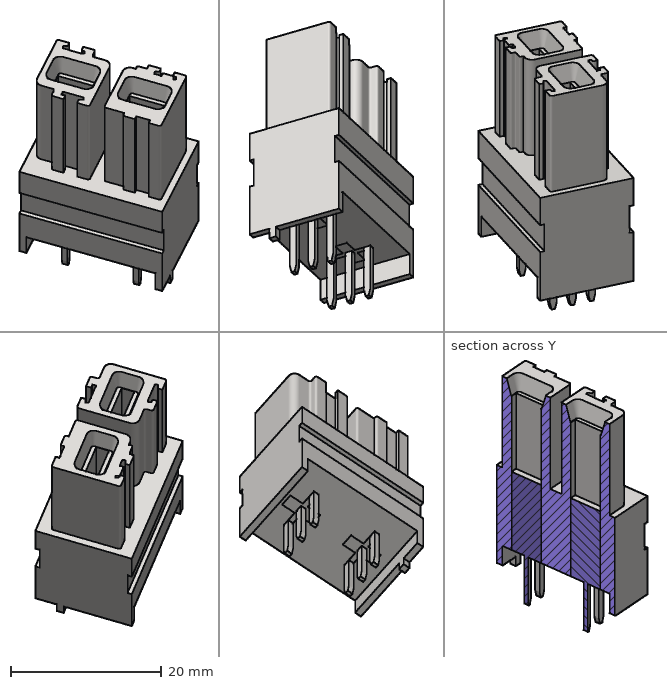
import cadquery as cq
import math

base_length = 20.32
base_width = 13.6
base_top = 15.6
side_groove_bottom = 7.4
side_groove_top = 11.45
side_groove_depth = 0.6
leg_thickness = 1.0
leg_height = 3.1
peg_size = 1.0
peg_drop = 1.5
peg_center_y = -3.3

tower_pitch = base_length / 2
tower_centers = (-tower_pitch / 2, tower_pitch / 2)
tower_top = 30.1
half_width = 4.14
core_y = 3.65
rail_y = 4.88
ledge_y = 4.34
wide_radius = 1.0
small_radius = 0.3
edge_radius = 0.15

lip_y = 4.17
neck_width = 1.95
undercut = 0.55
undercut_radius = 0.23
key_gap_radius = 0.12
rail_edge = 1.28
outer_neck = 2.4
inner_neck = outer_neck - neck_width
key_left = 0.97
key_top = 4.2
key_top_right = 2.45
key_foot_right = 2.75
step_edge = 2.65

funnel_depth = 2.5
funnel_mouth = (6.64, 4.4)
funnel_floor = (5.1, 3.0)
mouth_radius = 1.0
floor_radius = 0.35
slot_length = 5.0
slot_width = 1.8

contact_top = base_top
bar_height = 2.0
pin_thickness = 0.8
pin_width = 1.0
pin_tip_width = 0.5
pin_pitch = 2.8
pin_tip = -4.5
pin_taper_start = -3.5


def rounded_outline(corners):
    """Closed outline through (x, y, radius) corners; radius 0 keeps a corner sharp."""
    joints = []
    for index, (x, y, radius) in enumerate(corners):
        before = corners[index - 1]
        after = corners[(index + 1) % len(corners)]
        corner = cq.Vector(x, y)
        to_before = (cq.Vector(before[0], before[1]) - corner).normalized()
        to_after = (cq.Vector(after[0], after[1]) - corner).normalized()
        half_angle = to_before.getAngle(to_after) / 2
        setback = radius / math.tan(half_angle)
        bisector = (to_before + to_after).normalized()
        middle = corner + bisector * (radius / math.sin(half_angle) - radius)
        joints.append((corner + to_before * setback, middle, corner + to_after * setback, radius))

    outline = cq.Workplane("XY").moveTo(*joints[0][2].toTuple()[:2])
    for start, middle, end, radius in joints[1:] + joints[:1]:
        outline = outline.lineTo(start.x, start.y)
        if radius > 0:
            outline = outline.threePointArc((middle.x, middle.y), (end.x, end.y))
    return outline.close()


def left_tower_outline():
    """Clockwise from the back left corner: undercut slots in the back and the front."""
    back_slot = [
        (-outer_neck, rail_y, 0),
        (-outer_neck, lip_y, undercut_radius),
        (-outer_neck - undercut, lip_y, undercut_radius),
        (-outer_neck - undercut, core_y, undercut_radius),
        (-inner_neck + undercut, core_y, undercut_radius),
        (-inner_neck + undercut, lip_y, undercut_radius),
        (-inner_neck, lip_y, undercut_radius),
        (-inner_neck, rail_y, 0),
    ]
    front_slot = [
        (outer_neck, -rail_y, 0),
        (outer_neck, -lip_y, undercut_radius),
        (outer_neck + undercut, -lip_y, undercut_radius),
        (outer_neck + undercut, -core_y, undercut_radius),
        (inner_neck - undercut, -core_y, 0),
        (inner_neck - undercut, -lip_y, 0),
        (inner_neck, -lip_y, 0),
        (inner_neck, -rail_y, 0),
    ]
    return rounded_outline(
        [(-half_width, rail_y, small_radius)]
        + back_slot
        + [
            (rail_edge, rail_y, small_radius),
            (rail_edge, core_y, small_radius),
            (half_width, core_y, wide_radius),
            (half_width, -rail_y, small_radius),
        ]
        + front_slot
        + [
            (-rail_edge, -rail_y, small_radius),
            (-rail_edge, -core_y, small_radius),
            (-half_width, -core_y, wide_radius),
        ]
    )


def right_tower_outline():
    """Clockwise from the back left corner: keyed undercut slot in the back, plain slot in front."""
    back_slot = [
        (inner_neck, rail_y, 0),
        (inner_neck, lip_y, undercut_radius),
        (inner_neck - undercut, lip_y, undercut_radius),
        (inner_neck - undercut, core_y, undercut_radius),
        (key_left, core_y, 0),
        (key_left, key_top, 0),
        (key_top_right, key_top, 0),
        (key_foot_right, core_y, 0),
        (outer_neck + undercut, core_y, key_gap_radius),
        (outer_neck + undercut, lip_y, undercut_radius),
        (outer_neck, lip_y, undercut_radius),
        (outer_neck, rail_y, 0),
    ]
    front_slot = [
        (outer_neck, -rail_y, 0),
        (outer_neck, -ledge_y, 0),
        (inner_neck, -ledge_y, 0),
        (inner_neck, -rail_y, 0),
    ]
    return rounded_outline(
        [
            (-half_width, core_y, wide_radius),
            (-step_edge, core_y, 0),
            (-step_edge, key_top, edge_radius),
            (-rail_edge, key_top, edge_radius),
            (-rail_edge, rail_y, edge_radius),
        ]
        + back_slot
        + [
            (half_width, rail_y, small_radius),
            (half_width, -rail_y, small_radius),
        ]
        + front_slot
        + [
            (-rail_edge, -rail_y, small_radius),
            (-rail_edge, -ledge_y, 0),
            (-half_width, -ledge_y, small_radius),
        ]
    )


def block(length, width, bottom, top, center=(0, 0)):
    """Upright rectangular block between two heights."""
    return (
        cq.Workplane("XY", origin=(center[0], center[1], bottom))
        .rect(length, width)
        .extrude(top - bottom)
    )


def make_base():
    """Base with a groove along the front and back, and two end legs, one with a peg."""
    base = block(base_length, base_width, 0, base_top)
    for side in (-1, 1):
        groove_center = (0, side * (base_width - side_groove_depth) / 2)
        base = base.cut(
            block(base_length, side_groove_depth, side_groove_bottom, side_groove_top, groove_center)
        )
    base = base.cut(block(base_length - 2 * leg_thickness, base_width, 0, leg_height))
    peg_center_x = (base_length - leg_thickness) / 2
    return base.union(block(leg_thickness, peg_size, -peg_drop, leg_height, (peg_center_x, peg_center_y)))


def make_funnel(center_x):
    """Tapered socket mouth that narrows from the tower top."""
    mouth = cq.Sketch().rect(*funnel_mouth).vertices().fillet(mouth_radius)
    floor = cq.Sketch().rect(*funnel_floor).vertices().fillet(floor_radius)
    return (
        cq.Workplane("XY", origin=(center_x, 0, tower_top - funnel_depth))
        .placeSketch(floor, mouth.moved(cq.Location(cq.Vector(0, 0, funnel_depth))))
        .loft()
    )


def make_contact(center_x):
    """Socket block on a cross bar that carries a row of three tapered pins."""
    contact = block(slot_length, slot_width, leg_height, contact_top, (center_x, 0))
    bar_width = 2 * pin_pitch + pin_width
    contact = contact.union(
        block(pin_thickness, bar_width, leg_height, leg_height + bar_height, (center_x, 0))
    )
    for pin_y in (-pin_pitch, 0, pin_pitch):
        pin = (
            cq.Workplane("YZ", origin=(center_x - pin_thickness / 2, pin_y, 0))
            .moveTo(-pin_width / 2, leg_height)
            .lineTo(-pin_width / 2, pin_taper_start)
            .lineTo(-pin_tip_width / 2, pin_tip)
            .lineTo(pin_tip_width / 2, pin_tip)
            .lineTo(pin_width / 2, pin_taper_start)
            .lineTo(pin_width / 2, leg_height)
            .close()
            .extrude(pin_thickness)
        )
        contact = contact.union(pin)
    return contact


def make_housing(contacts):
    """Base and coded towers with sockets, hollowed to hold the contacts."""
    housing = make_base()
    for center_x, outline in zip(tower_centers, (left_tower_outline(), right_tower_outline())):
        tower = outline.extrude(tower_top - base_top).translate((center_x, 0, base_top))
        housing = housing.union(tower)
    for center_x, contact in zip(tower_centers, contacts):
        slot = block(slot_length, slot_width, contact_top, tower_top, (center_x, 0))
        housing = housing.cut(make_funnel(center_x)).cut(slot).cut(contact)
    return housing


contacts = [make_contact(center_x) for center_x in tower_centers]
housing = make_housing(contacts)

result = cq.Compound.makeCompound([housing.val(), *[contact.val() for contact in contacts]])